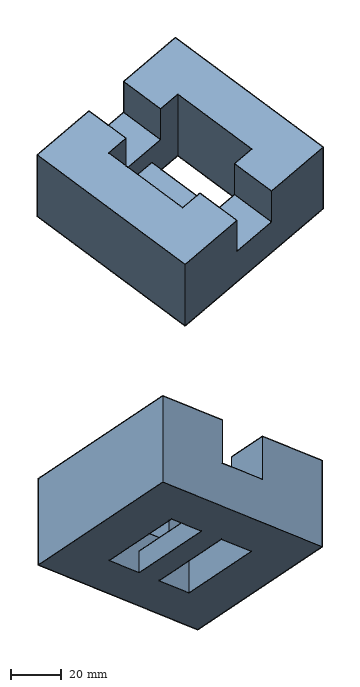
import cadquery as cq

block_side = 80.0
block_height = 40.0

wall_thickness = 20.0
window_side = block_side - 2 * wall_thickness

slot_width = 20.0
slot_depth = block_height / 2

bar_width = 10.0
bar_height = 10.0


def centred_box(length_x, length_y, height, bottom_z=0.0):
    """Box centred on the Z axis with its underside at bottom_z."""
    box = cq.Workplane("XY").box(length_x, length_y, height, centered=(True, True, False))
    return box.translate((0, 0, bottom_z))


def make_frame():
    """Block with the window and the top slot removed."""
    block = centred_box(block_side, block_side, block_height)
    window = centred_box(window_side, window_side, block_height)
    slot = centred_box(block_side, slot_width, slot_depth, block_height - slot_depth)
    return block.cut(window).cut(slot)


def make_crossbar():
    """Bar that joins the two side walls across the window."""
    return centred_box(window_side, bar_width, bar_height)


result = make_frame().union(make_crossbar())